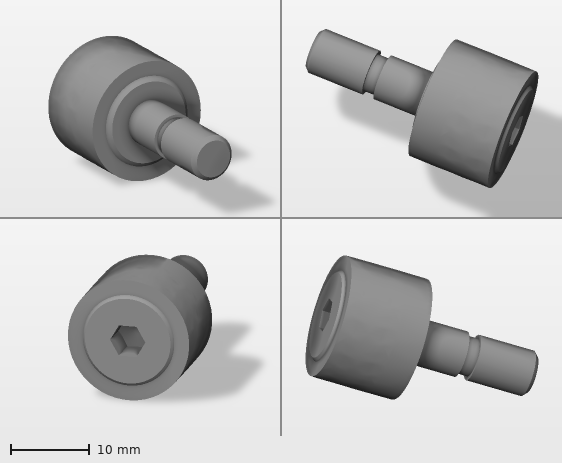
import cadquery as cq
import math

total_length = 28.0
roller_diameter = 16.0
roller_width = 11.0
crown_radius = 500.08
flange_diameter = 12.0
front_flange_width = 0.4
rear_flange_width = 0.6

stud_diameter = 6.0
stud_chamfer = 0.55
groove_diameter = 4.98
groove_start = 18.4
groove_width = 1.6

hex_across_flats = 4.0
hex_depth = 4.0
socket_point_angle = 120.0

roller_end = front_flange_width + roller_width
rear_flange_end = roller_end + rear_flange_width


def cylinder(start, length, diameter):
    """Solid cylinder on the X axis."""
    return cq.Workplane("YZ", origin=(start, 0, 0)).circle(diameter / 2).extrude(length)


def make_roller():
    crown_rise = crown_radius - math.sqrt(crown_radius**2 - (roller_width / 2) ** 2)
    middle_radius = roller_diameter / 2
    edge_radius = middle_radius - crown_rise
    roller = (
        cq.Workplane("XY")
        .moveTo(front_flange_width, 0)
        .lineTo(front_flange_width, edge_radius)
        .threePointArc((front_flange_width + roller_width / 2, middle_radius), (roller_end, edge_radius))
        .lineTo(roller_end, 0)
        .close()
        .revolve(360, (0, 0, 0), (1, 0, 0))
    )

    flange_radius = flange_diameter / 2
    flanges = (
        cq.Workplane("XY")
        .moveTo(0, 0)
        .lineTo(0, flange_radius - front_flange_width)
        .lineTo(front_flange_width, flange_radius)
        .lineTo(roller_end, flange_radius)
        .lineTo(rear_flange_end, flange_radius - rear_flange_width)
        .lineTo(rear_flange_end, 0)
        .close()
        .revolve(360, (0, 0, 0), (1, 0, 0))
    )
    return roller.union(flanges)


def make_stud():
    stud_length = total_length - roller_end
    stud = cylinder(roller_end, stud_length, stud_diameter).faces(">X").chamfer(stud_chamfer)
    groove = cylinder(groove_start, groove_width, stud_diameter).cut(
        cylinder(groove_start, groove_width, groove_diameter)
    )
    return stud.cut(groove)


def make_hex_socket():
    """Hexagonal socket, corners along Y, ending in a conical drill point."""
    across_corners = hex_across_flats / math.cos(math.radians(30))
    point_radius = across_corners / 2
    point_depth = point_radius / math.tan(math.radians(socket_point_angle / 2))
    hexagon = cq.Workplane("YZ").polygon(6, across_corners).extrude(hex_depth + point_depth)
    drill = (
        cq.Workplane("XY")
        .moveTo(0, 0)
        .lineTo(0, point_radius)
        .lineTo(hex_depth, point_radius)
        .lineTo(hex_depth + point_depth, 0)
        .close()
        .revolve(360, (0, 0, 0), (1, 0, 0))
    )
    return hexagon.intersect(drill)


result = make_roller().union(make_stud()).cut(make_hex_socket())